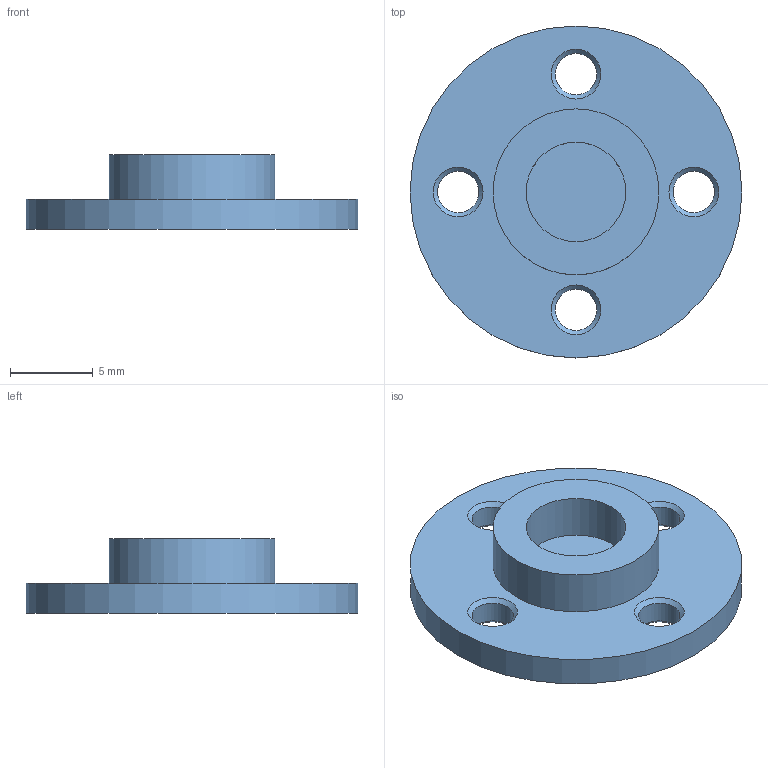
import cadquery as cq

flange_diameter = 20.0
flange_thickness = 1.8

total_height = 4.5
boss_diameter = 10.0
boss_height = total_height - flange_thickness
bore_diameter = 6.0
bore_depth = boss_height

hole_count = 4
hole_diameter = 2.5
hole_circle_radius = 7.1
hole_mouth_diameter = 3.0
hole_chamfer = (hole_mouth_diameter - hole_diameter) / 2


def make_hub():
    """Flange disc carrying the bored boss."""
    flange = cq.Workplane("XY").circle(flange_diameter / 2).extrude(flange_thickness)
    boss = (
        cq.Workplane("XY")
        .workplane(offset=flange_thickness)
        .circle(boss_diameter / 2)
        .extrude(boss_height)
    )
    bore = (
        cq.Workplane("XY")
        .workplane(offset=total_height - bore_depth)
        .circle(bore_diameter / 2)
        .extrude(bore_depth)
    )
    return flange.union(boss).cut(bore)


def make_hole_cutters():
    """Through-hole cutters on the hole circle, widened by a chamfer at each end."""
    hole_radius = hole_diameter / 2
    mouth_radius = hole_mouth_diameter / 2
    half_profile = [
        (0, 0),
        (mouth_radius, 0),
        (hole_radius, hole_chamfer),
        (hole_radius, flange_thickness - hole_chamfer),
        (mouth_radius, flange_thickness),
        (0, flange_thickness),
    ]
    cutter = cq.Workplane("XZ").polyline(half_profile).close().revolve(360, (0, 0), (0, 1)).val()
    return (
        cq.Workplane("XY")
        .polarArray(hole_circle_radius, 0, 360, hole_count)
        .eachpoint(lambda place: cutter.moved(place))
    )


result = make_hub().cut(make_hole_cutters())